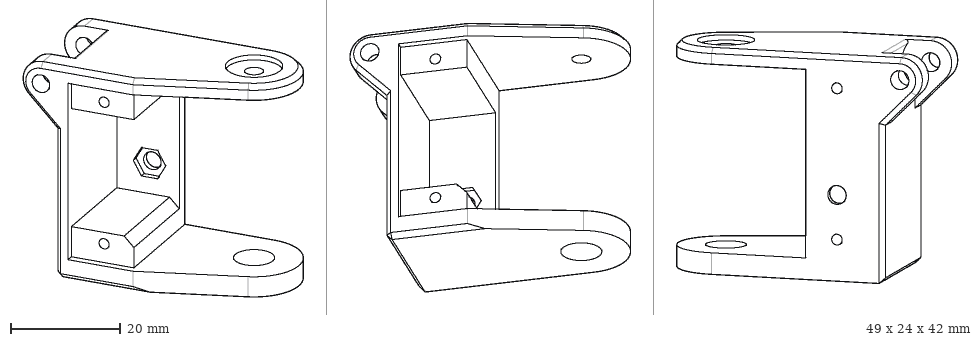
import cadquery as cq
import math

length = 49.0
width = 24.0
height = 42.0
edge_chamfer = 1.0

hinge_radius = 4.0
hinge_x = hinge_radius
hinge_z = height - hinge_radius
hinge_hole_diameter = 3.5
ear_width = 4.8
knuckle_clearance_radius = 5.5
lip_radius = 0.5

wall_x = 7.0
wall_inner_x = 9.45
top_arm_thickness = 3.0
bottom_arm_thickness = 4.0
arm_top_z = height - top_arm_thickness
taper_start_x = 22.5
arm_end_radius = 9.0
pivot_x = length - arm_end_radius
pivot_y = width - arm_end_radius
top_pivot_diameter = 3.5
recess_diameter = 10.5
recess_depth = 1.0
bottom_pivot_diameter = 7.5

plate_end_x = 22.0
plate_thickness = 2.5
block_front_y = 1.5
top_block_height = 5.6
bottom_block_height = 6.0
block_chamfer = 1.95
mount_hole_x = 16.0
mount_hole_diameter = 2.0
top_mount_z = 35.8
bottom_mount_z = 7.75
hex_z = 16.0
hex_across_flats = 5.65
hex_depth = 1.22
hex_hole_diameter = 3.5


def prism_y(sketch, y_start, y_end):
    """Extrude an XZ sketch between two Y positions."""
    return sketch.extrude(-(y_end - y_start)).translate((0, y_start, 0))


def box(x0, x1, y0, y1, z0, z1):
    return cq.Workplane("XY").box(x1 - x0, y1 - y0, z1 - z0, centered=False).translate((x0, y0, z0))


def hole_y(x, z, diameter):
    return prism_y(cq.Workplane("XZ").center(x, z).circle(diameter / 2), 0, width)


def make_side_prism():
    """Outer side outline with chamfered hinge, wall and lower front edges."""
    diagonal = hinge_radius * math.sqrt(0.5)
    tangent_x = hinge_x - diagonal
    tangent_z = hinge_z - diagonal
    diagonal_end_z = tangent_z - (wall_x - tangent_x)
    outline = (
        cq.Workplane("XZ")
        .moveTo(wall_x, 0)
        .lineTo(length, 0)
        .lineTo(length, height)
        .lineTo(hinge_x, height)
        .threePointArc((hinge_x - hinge_radius, hinge_z), (tangent_x, tangent_z))
        .lineTo(wall_x, diagonal_end_z)
        .close()
    )
    prism = prism_y(outline, 0, width)
    margin = 0.5
    max_x = length - margin
    front_edges = prism.faces("<Y").edges().filter(lambda e: e.Center().x < max_x)
    rear_edges = prism.faces(">Y").edges().filter(lambda e: e.Center().x < max_x and e.Center().z > margin)
    lower_edge = prism.edges("|Y").filter(lambda e: e.Center().x < max_x and e.Center().z < margin)
    return front_edges.add(rear_edges).add(lower_edge).chamfer(edge_chamfer)


def make_plan_prism():
    """Tapered, rounded arm outline with a chamfered upper rim."""
    dx = pivot_x - taper_start_x
    angle_to_pivot = math.atan2(pivot_y, dx)
    taper_angle = angle_to_pivot - math.asin(arm_end_radius / math.hypot(dx, pivot_y))
    tangent_x = pivot_x + arm_end_radius * math.sin(taper_angle)
    tangent_y = pivot_y - arm_end_radius * math.cos(taper_angle)
    return (
        cq.Workplane("XY")
        .lineTo(taper_start_x, 0)
        .lineTo(tangent_x, tangent_y)
        .threePointArc((length, pivot_y), (pivot_x, width))
        .lineTo(0, width)
        .close()
        .extrude(height)
        .faces(">Z")
        .edges("not <X")
        .chamfer(edge_chamfer)
    )


def make_interior():
    """Open space between the arms, leaving the back plate and two blocks."""
    back_y = width - plate_thickness
    upper_z = arm_top_z - top_block_height
    lower_z = bottom_arm_thickness + bottom_block_height
    space = box(wall_inner_x, length, 0, width, bottom_arm_thickness, arm_top_z)
    plate = box(wall_inner_x, plate_end_x, back_y, width, bottom_arm_thickness, arm_top_z)
    upper = box(wall_inner_x, plate_end_x, block_front_y, width, upper_z, arm_top_z)
    lower = box(wall_inner_x, plate_end_x, block_front_y, back_y, bottom_arm_thickness, lower_z)
    lower = lower.edges(">X and >Z").chamfer(block_chamfer)
    return space.cut(plate).cut(upper).cut(lower)


def make_hinge_notch():
    """Knuckle clearance between the ears, with tangent rounds on both lips."""
    reach = knuckle_clearance_radius + lip_radius
    touch_ratio = knuckle_clearance_radius / reach

    upper_center_z = height - lip_radius
    upper_center_x = hinge_x + math.sqrt(reach**2 - (upper_center_z - hinge_z) ** 2)
    lower_center_x = wall_x + lip_radius
    lower_center_z = hinge_z - math.sqrt(reach**2 - (lower_center_x - hinge_x) ** 2)

    upper_touch_x = hinge_x + touch_ratio * (upper_center_x - hinge_x)
    upper_touch_z = hinge_z + touch_ratio * (upper_center_z - hinge_z)
    lower_touch_x = hinge_x + touch_ratio * (lower_center_x - hinge_x)
    lower_touch_z = hinge_z + touch_ratio * (lower_center_z - hinge_z)

    sketch = (
        cq.Workplane("XZ")
        .lineTo(wall_x, 0)
        .lineTo(wall_x, lower_center_z)
        .tangentArcPoint((lower_touch_x, lower_touch_z), relative=False)
        .threePointArc((hinge_x + knuckle_clearance_radius, hinge_z), (upper_touch_x, upper_touch_z))
        .tangentArcPoint((upper_center_x, height), relative=False)
        .lineTo(0, height)
        .close()
    )
    return prism_y(sketch, ear_width, width - ear_width)


def make_arm_pivots():
    """Lower through hole, upper through hole and the shallow upper recess."""
    pivot = cq.Workplane("XY").center(pivot_x, pivot_y)
    lower = pivot.circle(bottom_pivot_diameter / 2).extrude(bottom_arm_thickness)
    upper = pivot.circle(top_pivot_diameter / 2).extrude(height)
    recess = pivot.workplane(offset=height - recess_depth).circle(recess_diameter / 2).extrude(recess_depth)
    return lower.union(upper).union(recess)


def make_hex_pocket():
    across_corners = hex_across_flats / math.cos(math.pi / 6)
    sketch = cq.Workplane("XZ").center(mount_hole_x, hex_z).polygon(6, across_corners)
    pocket_y = width - plate_thickness
    return prism_y(sketch, pocket_y, pocket_y + hex_depth)


result = make_side_prism().intersect(make_plan_prism())
result = result.cut(make_interior()).cut(make_hinge_notch()).cut(make_arm_pivots()).cut(make_hex_pocket())

hole_list = [
    (hinge_x, hinge_z, hinge_hole_diameter),
    (mount_hole_x, top_mount_z, mount_hole_diameter),
    (mount_hole_x, bottom_mount_z, mount_hole_diameter),
    (mount_hole_x, hex_z, hex_hole_diameter),
]
for x, z, diameter in hole_list:
    result = result.cut(hole_y(x, z, diameter))